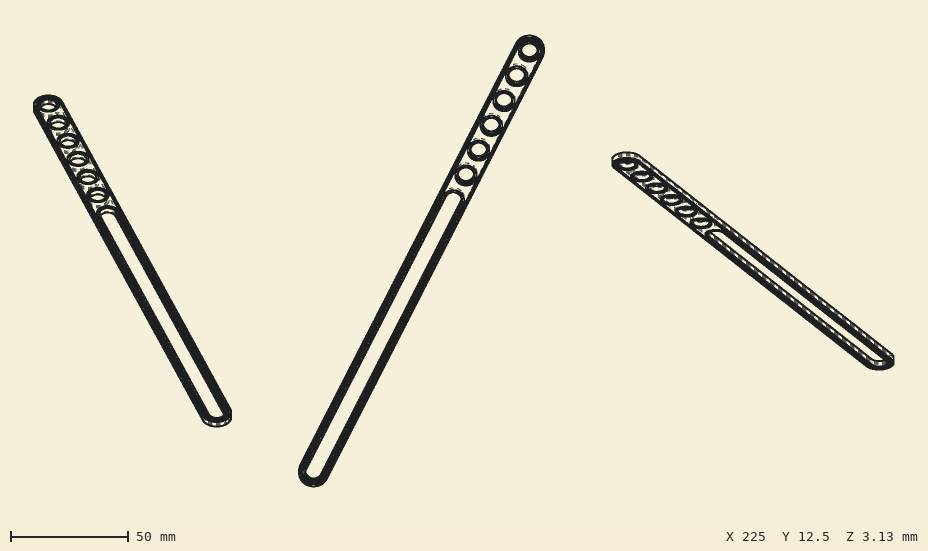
import cadquery as cq

length = 225.0
pitches_in_length = 18
hole_count = 6
hole_diameter = 7.0
collar_diameter = 9.2
edge_chamfer = 0.32
rim_width = 1.08
recess_depth = 0.2

pitch = length / pitches_in_length
width = pitch
thickness = pitch / 4

first_hole_x = (pitch - length) / 2
hole_stations = [first_hole_x + index * pitch for index in range(hole_count)]
slot_start_x = first_hole_x + hole_count * pitch
slot_end_x = (length - pitch) / 2
slot_centre_x = (slot_start_x + slot_end_x) / 2
slot_span = slot_end_x - slot_start_x


def openings(diameter, height):
    """Columns centred on Z = 0 over every hole and over the long slot."""
    holes = cq.Workplane("XY").pushPoints([(x, 0) for x in hole_stations]).circle(diameter / 2)
    slot = cq.Workplane("XY").center(slot_centre_x, 0).slot2D(slot_span + diameter, diameter)
    return holes.extrude(height / 2, both=True).union(slot.extrude(height / 2, both=True))


def perforated_strap():
    """Round-ended strap with its openings cut and every rim chamfered."""
    strap = cq.Workplane("XY").slot2D(length, width).extrude(thickness / 2, both=True)
    strap = strap.cut(openings(hole_diameter, thickness))
    return strap.faces("|Z").edges().chamfer(edge_chamfer)


def recess_cutter():
    """Shallow recess in the upper face, leaving the outer rim and the collars."""
    recess = cq.Workplane("XY", origin=(0, 0, thickness / 2))
    recess = recess.slot2D(length - 2 * rim_width, width - 2 * rim_width).extrude(-recess_depth)
    return recess.cut(openings(collar_diameter, thickness))


upper_recess = recess_cutter()
result = perforated_strap().cut(upper_recess).cut(upper_recess.mirror("XY"))